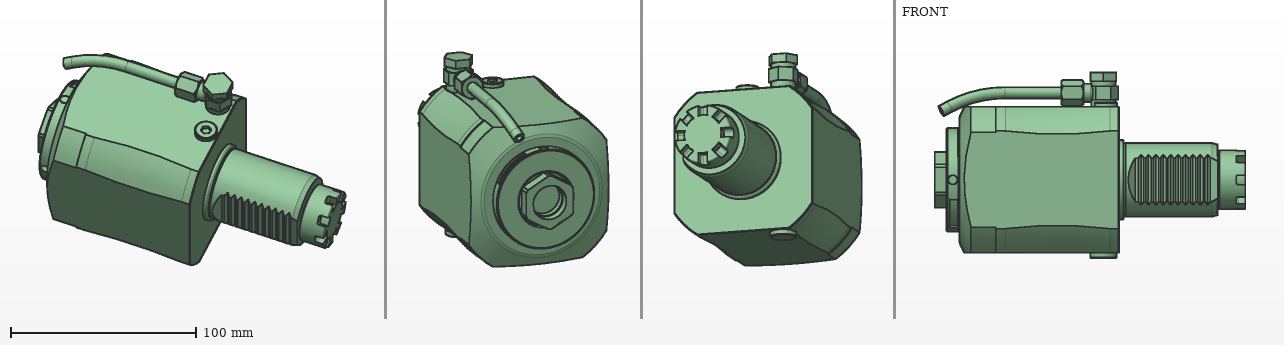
import cadquery as cq
import math


HOUSING_WIDTH = 79.0
HOUSING_FRONT_X = -86.4
FRONT_FACE_RADIUS = 33.1
FRONT_BEVEL_RADIUS = 34.8
FRONT_BEVEL_END_X = HOUSING_FRONT_X + 0.5
FRONT_CONE_END_X = -80.0
NOSE_RADIUS = 47.1
NOSE_END_X = -66.6
BAND_RADIUS = 47.5
BAND_WIDTH = 5.0
WAIST_RADIUS = 46.55
SEAT_CHAMFER = 0.4

SHANK_RADIUS = 20.0
SHANK_END_X = 53.2
SHANK_TIP_RADIUS = 19.1
SHANK_TIP_LENGTH = 3.1
COLLAR_RADIUS = 21.6
COLLAR_LENGTH = 2.6
COLLAR_ROUND = 1.0
RELIEF_END_X = 3.5
RELIEF_DEPTH = 0.15

FLAT_OFFSET = 16.2
FLAT_RAMP_START_X = 5.0
GROOVE_COUNT = 10
GROOVE_PITCH = 4.0
GROOVE_DEPTH = 1.5
FIRST_GROOVE_X = 11.9

TOP_PLUG_X = -7.1
TOP_PLUG_RADIUS = 6.1
TOP_PLUG_HEIGHT = 2.5
TOP_PLUG_SOCKET_FLATS = 4.8
TOP_PLUG_SOCKET_DEPTH = 2.0
COOLANT_X = -8.5
COOLANT_Y = 20.0
BOTTOM_PLUG_RADIUS = 7.2
BOTTOM_PLUG_HEIGHT = 2.9
PLUG_CHAMFER = 0.5

SHAFT_RADIUS = 12.9
DISC_RADIUS = 28.1
DISC_FRONT_X = -93.3
DISC_BACK_X = -86.9
DISC_CHAMFER = 0.7
HEX_END_X = -99.7
HEX_FLATS = 27.0
HEX_TURNED_RADIUS = 15.1
RECESS_RADIUS = 16.0
RECESS_DEPTH = RECESS_RADIUS - HEX_TURNED_RADIUS
BORE_RADIUS = 9.5
BORE_DEPTH = 5.7
INNER_BORE_RADIUS = 9.0
INNER_BORE_DEPTH = 10.2
RIM_HOLE_RADIUS = 2.5
RIM_HOLE_DEPTH = 5.0
RIM_SPOT_DEPTH = 0.5
RIM_HOLE_X = -89.8
RIM_POCKET_START_X = -91.4
RIM_POCKET_END_X = -87.2
RIM_POCKET_ANGLE = 45.0
RIM_POCKET_DIRECTIONS = (45.0, 225.0)
RIM_POCKET_FLOOR_RADIUS = 26.8
COUPLING_START_X = 54.1
COUPLING_END_X = 68.3
COUPLING_RADIUS = 16.0
COUPLING_ROUND = 0.5
SLOT_COUNT = 8
SLOT_WIDTH = 5.2
SLOT_LENGTH = 5.0
SLOT_FLOOR_RADIUS = 10.5
SLOT_CORNER_RADIUS = 1.2

FITTING_TOP_Z = 58.0
BOLT_HEAD_FLATS = 14.0
BOLT_HEAD_HEIGHT = 4.7
FITTING_RADIUS = 6.65
EYE_FLATS = 14.0
EYE_HEIGHT = 7.3
PIPE_Z = 47.0
NIPPLE_RADIUS = 5.0
NIPPLE_ROUND = 1.8
NIPPLE_END_X = -13.8
NUT_FLATS = 12.2
NUT_START_X = -31.3
NUT_END_X = -19.2
NUT_CHAMFER = 1.0
PIPE_RADIUS = 3.1
PIPE_BORE_RADIUS = 1.7
BEND_START_X = -61.7
BEND_RADIUS = 60.0
BEND_ANGLE = 30.0
BEND_TILT = 20.6
PIPE_TIP_LENGTH = 5.0

HALF_WIDTH = HOUSING_WIDTH / 2
BAND_END_X = NOSE_END_X + BAND_WIDTH


def rod(start_x, end_x, radius, y=0.0, z=0.0):
    """Cylinder along X."""
    return cq.Workplane("YZ", origin=(start_x, y, z)).circle(radius).extrude(end_x - start_x)


def post(x, y, start_z, end_z, radius):
    """Cylinder along Z."""
    return cq.Workplane("XY", origin=(x, y, start_z)).circle(radius).extrude(end_z - start_z)


def hexagon(plane, origin, flats, length, turn=0.0):
    """Hexagonal prism given by its width across flats."""
    across_corners = flats / math.cos(math.radians(30))
    prism = cq.Workplane(plane, origin=origin).transformed(rotate=(0, 0, turn))
    return prism.polygon(6, across_corners).extrude(length)


def turned(outline):
    """Solid of revolution about X from a closed outline drawn in the XY plane."""
    return outline.close().revolve(360, (0, 0, 0), (1, 0, 0))


def housing_block():
    """Square block whose corners and front are turned down to a waisted profile."""
    rear_band_x = -BAND_WIDTH
    waist_x = (BAND_END_X + rear_band_x) / 2
    profile = turned(
        cq.Workplane("XY")
        .moveTo(HOUSING_FRONT_X, 0)
        .lineTo(HOUSING_FRONT_X, FRONT_FACE_RADIUS)
        .lineTo(FRONT_BEVEL_END_X, FRONT_BEVEL_RADIUS)
        .lineTo(FRONT_CONE_END_X, NOSE_RADIUS)
        .lineTo(NOSE_END_X, NOSE_RADIUS)
        .lineTo(NOSE_END_X, BAND_RADIUS)
        .lineTo(BAND_END_X, BAND_RADIUS)
        .threePointArc((waist_x, WAIST_RADIUS), (rear_band_x, BAND_RADIUS))
        .lineTo(0, BAND_RADIUS)
        .lineTo(0, 0)
    )
    block = cq.Workplane("YZ", origin=(HOUSING_FRONT_X, 0, 0)).rect(HOUSING_WIDTH, HOUSING_WIDTH)
    return block.extrude(-HOUSING_FRONT_X).intersect(profile).faces(">X").chamfer(SEAT_CHAMFER)


def shank():
    """Cylindrical shank with a seat collar, a shallow relief beside it and a tapered tip."""
    collar = rod(0, COLLAR_LENGTH, COLLAR_RADIUS).faces(">X").edges().fillet(COLLAR_ROUND)
    barrel = turned(
        cq.Workplane("XY")
        .lineTo(0, SHANK_RADIUS - RELIEF_DEPTH)
        .lineTo(RELIEF_END_X, SHANK_RADIUS - RELIEF_DEPTH)
        .lineTo(RELIEF_END_X, SHANK_RADIUS)
        .lineTo(SHANK_END_X - SHANK_TIP_LENGTH, SHANK_RADIUS)
        .lineTo(SHANK_END_X, SHANK_TIP_RADIUS)
        .lineTo(SHANK_END_X, 0)
    )
    return barrel.cut(serration_cutter()).union(collar)


def serration_cutter():
    """Everything outside the clamping flat, with a row of V-shaped grooves along it."""
    flat_start_x = FLAT_RAMP_START_X + SHANK_RADIUS - FLAT_OFFSET
    outline = (
        cq.Workplane("XY", origin=(0, 0, -SHANK_RADIUS))
        .moveTo(FLAT_RAMP_START_X, -SHANK_RADIUS)
        .lineTo(flat_start_x, -FLAT_OFFSET)
    )
    for i in range(GROOVE_COUNT):
        groove_x = FIRST_GROOVE_X + i * GROOVE_PITCH
        outline = (
            outline.lineTo(groove_x - GROOVE_DEPTH, -FLAT_OFFSET)
            .lineTo(groove_x, -FLAT_OFFSET + GROOVE_DEPTH)
            .lineTo(groove_x + GROOVE_DEPTH, -FLAT_OFFSET)
        )
    outline = outline.lineTo(SHANK_END_X, -FLAT_OFFSET).lineTo(SHANK_END_X, -SHANK_RADIUS)
    return outline.close().extrude(2 * SHANK_RADIUS)


def top_plug():
    """Round plug with a hexagon socket."""
    top_z = HALF_WIDTH + TOP_PLUG_HEIGHT
    plug = post(TOP_PLUG_X, 0, HALF_WIDTH, top_z, TOP_PLUG_RADIUS).faces(">Z").chamfer(PLUG_CHAMFER)
    socket_base = (TOP_PLUG_X, 0, top_z - TOP_PLUG_SOCKET_DEPTH)
    return plug.cut(hexagon("XY", socket_base, TOP_PLUG_SOCKET_FLATS, TOP_PLUG_SOCKET_DEPTH, turn=30))


def bottom_plug():
    """Plain round plug below the coolant fitting."""
    bottom_z = -HALF_WIDTH - BOTTOM_PLUG_HEIGHT
    plug = post(COOLANT_X, COOLANT_Y, bottom_z, -HALF_WIDTH, BOTTOM_PLUG_RADIUS)
    return plug.faces("<Z").chamfer(PLUG_CHAMFER)


def make_housing():
    body = housing_block().union(shank()).union(top_plug()).union(bottom_plug())
    return body.cut(rod(HOUSING_FRONT_X, SHANK_END_X, SHAFT_RADIUS))


def front_disc():
    """Disc with a conical recess, a radial hole, a shallow spot and two rim pockets."""
    disc = rod(DISC_FRONT_X, DISC_BACK_X, DISC_RADIUS).faces("<X").chamfer(DISC_CHAMFER)
    recess = turned(
        cq.Workplane("XY")
        .moveTo(DISC_FRONT_X, 0)
        .lineTo(DISC_FRONT_X, RECESS_RADIUS)
        .lineTo(DISC_FRONT_X + RECESS_DEPTH, HEX_TURNED_RADIUS)
        .lineTo(DISC_FRONT_X + RECESS_DEPTH, 0)
    )
    disc = disc.cut(recess)

    hole = post(RIM_HOLE_X, 0, DISC_RADIUS - RIM_HOLE_DEPTH, DISC_RADIUS, RIM_HOLE_RADIUS)
    spot = post(RIM_HOLE_X, 0, DISC_RADIUS - RIM_SPOT_DEPTH, DISC_RADIUS, RIM_HOLE_RADIUS)
    disc = disc.cut(hole.rotate((0, 0, 0), (1, 0, 0), 90)).cut(spot)

    pocket = (
        cq.Workplane("XY")
        .moveTo(RIM_POCKET_START_X, RIM_POCKET_FLOOR_RADIUS)
        .lineTo(RIM_POCKET_START_X, DISC_RADIUS + DISC_CHAMFER)
        .lineTo(RIM_POCKET_END_X, DISC_RADIUS + DISC_CHAMFER)
        .lineTo(RIM_POCKET_END_X, RIM_POCKET_FLOOR_RADIUS)
        .close()
        .revolve(RIM_POCKET_ANGLE, (0, 0, 0), (1, 0, 0))
    )
    for middle_angle in RIM_POCKET_DIRECTIONS:
        start_angle = middle_angle - RIM_POCKET_ANGLE / 2
        disc = disc.cut(pocket.rotate((0, 0, 0), (1, 0, 0), start_angle))
    return disc


def front_hexagon():
    """Hexagon with turned corners, reaching down to the floor of the disc recess."""
    length = DISC_FRONT_X + RECESS_DEPTH - HEX_END_X
    prism = hexagon("YZ", (HEX_END_X, 0, 0), HEX_FLATS, length, turn=90)
    return prism.intersect(rod(HEX_END_X, HEX_END_X + length, HEX_TURNED_RADIUS))


def coupling():
    """Coupling head with a ring of slots at the end of its rim."""
    head = rod(COUPLING_START_X, COUPLING_END_X, COUPLING_RADIUS).faces("<X or >X")
    head = head.edges().fillet(COUPLING_ROUND)
    slot_start_x = COUPLING_END_X - SLOT_LENGTH
    slot = cq.Workplane("XY").box(
        SLOT_LENGTH, SLOT_WIDTH, COUPLING_RADIUS, centered=(False, True, False)
    ).translate((slot_start_x, 0, 0))
    slot = slot.edges("<X and |Z").fillet(SLOT_CORNER_RADIUS)
    slot = slot.cut(rod(slot_start_x, COUPLING_END_X, SLOT_FLOOR_RADIUS))
    for i in range(SLOT_COUNT):
        head = head.cut(slot.rotate((0, 0, 0), (1, 0, 0), i * 360 / SLOT_COUNT))
    return head


def make_spindle():
    shaft = rod(DISC_BACK_X, COUPLING_START_X, SHAFT_RADIUS)
    body = front_disc().union(front_hexagon()).union(shaft).union(coupling())
    body = body.cut(rod(HEX_END_X, HEX_END_X + BORE_DEPTH, BORE_RADIUS))
    return body.cut(rod(HEX_END_X, HEX_END_X + INNER_BORE_DEPTH, INNER_BORE_RADIUS))


def banjo():
    """Banjo bolt head, hexagonal eye and the round shoulders above and below the eye."""
    head_z = FITTING_TOP_Z - BOLT_HEAD_HEIGHT
    head = hexagon("XY", (COOLANT_X, COOLANT_Y, head_z), BOLT_HEAD_FLATS, BOLT_HEAD_HEIGHT, turn=30)
    shoulders = post(COOLANT_X, COOLANT_Y, HALF_WIDTH, head_z, FITTING_RADIUS)
    eye = hexagon("XY", (COOLANT_X, COOLANT_Y, PIPE_Z - EYE_HEIGHT / 2), EYE_FLATS, EYE_HEIGHT)
    return head.union(shoulders).union(eye)


def union_nut():
    """Nipple and hexagonal union nut with chamfered corners."""
    nut = hexagon("YZ", (NUT_START_X, COOLANT_Y, PIPE_Z), NUT_FLATS, NUT_END_X - NUT_START_X, turn=90)
    corner_radius = NUT_FLATS / 2 / math.cos(math.radians(30))
    turned_blank = rod(NUT_START_X, NUT_END_X, corner_radius, COOLANT_Y, PIPE_Z)
    nut = nut.intersect(turned_blank.edges().chamfer(NUT_CHAMFER))
    nipple = rod(NUT_END_X, NIPPLE_END_X, NIPPLE_RADIUS, COOLANT_Y, PIPE_Z)
    nipple = nipple.faces(">X").edges().fillet(NIPPLE_ROUND)
    core = rod(NIPPLE_END_X, COOLANT_X, NIPPLE_RADIUS - NIPPLE_ROUND, COOLANT_Y, PIPE_Z)
    return nut.union(nipple).union(core)


def pipe_run(radius):
    """Solid bar along the pipe: straight run, downward bend and straight tip."""
    end = math.radians(BEND_ANGLE)
    middle = end / 2
    bend_middle = (
        BEND_START_X - BEND_RADIUS * math.sin(middle),
        -BEND_RADIUS * (1 - math.cos(middle)),
    )
    bend_end = (
        BEND_START_X - BEND_RADIUS * math.sin(end),
        -BEND_RADIUS * (1 - math.cos(end)),
    )
    tip = (
        bend_end[0] - PIPE_TIP_LENGTH * math.cos(end),
        bend_end[1] - PIPE_TIP_LENGTH * math.sin(end),
    )
    path = (
        cq.Workplane("XZ")
        .moveTo(NUT_START_X, 0)
        .lineTo(BEND_START_X, 0)
        .threePointArc(bend_middle, bend_end)
        .lineTo(*tip)
    )
    bar = cq.Workplane("YZ", origin=(NUT_START_X, 0, 0)).circle(radius).sweep(path)
    return bar.rotate((0, 0, 0), (1, 0, 0), -BEND_TILT).translate((0, COOLANT_Y, PIPE_Z))


def make_coolant_pipe():
    body = banjo().union(union_nut()).union(pipe_run(PIPE_RADIUS))
    return body.cut(pipe_run(PIPE_BORE_RADIUS))


housing = make_housing()
spindle = make_spindle()
coolant_pipe = make_coolant_pipe()

bodies = (housing, spindle, coolant_pipe)
result = cq.Compound.makeCompound([body.solids().val() for body in bodies])